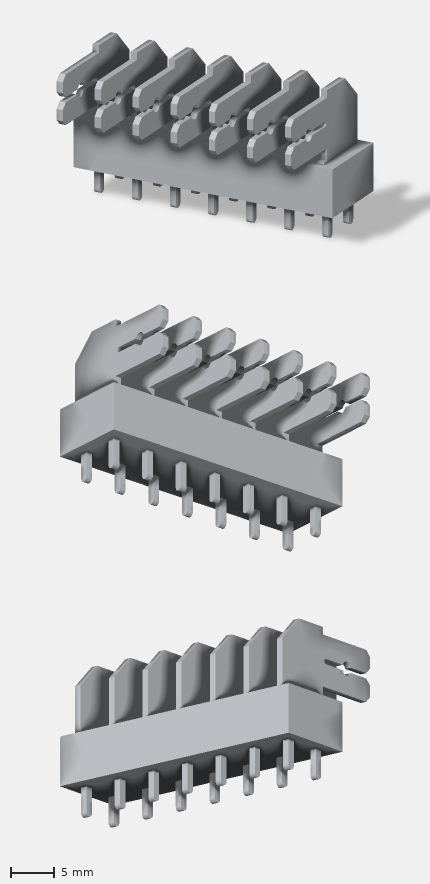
import cadquery as cq

housing_length = 34.0
housing_depth = 9.85
housing_height = 6.0

terminal_count = 7
terminal_pitch = 5.0
terminal_thickness = 0.8

plate_margin = 0.85
plate_height = 8.98
plate_front_y = 1.65
plate_corner_chamfer = 3.03
foot_height = 0.3

prong_reach = 7.0
prong_drop = 0.92
prong_pair_height = 6.25
prong_tip_chamfer = 0.7

slot_width = 0.65
slot_end_y = 1.35
relief_length = 1.43
relief_height = 1.7
relief_y = -2.72

pin_width = 1.0
pin_spacing = 5.0
front_pin_y = 2.45
pin_length = 3.55

plate_back_y = housing_depth - plate_margin
plate_top_z = housing_height + plate_height
foot_top_z = housing_height + foot_height
prong_tip_y = -prong_reach
prong_top_z = plate_top_z - prong_drop
prong_bottom_z = prong_top_z - prong_pair_height
slot_z = (prong_top_z + prong_bottom_z) / 2
slot_top_z = slot_z + slot_width / 2
slot_bottom_z = slot_z - slot_width / 2
pin_centers_y = [front_pin_y, front_pin_y + pin_spacing]
first_terminal_x = -(terminal_count - 1) * terminal_pitch / 2
terminal_centers_x = [first_terminal_x + i * terminal_pitch for i in range(terminal_count)]


def side_sketch(center_x):
    """YZ workplane on the left face of the terminal centred at center_x."""
    return cq.Workplane("YZ", origin=(center_x - terminal_thickness / 2, 0, 0))


def make_plate(center_x):
    """Plate with a chamfered back corner and a low foot at its front."""
    return (
        side_sketch(center_x)
        .moveTo(plate_margin, housing_height)
        .lineTo(plate_back_y, housing_height)
        .lineTo(plate_back_y, plate_top_z - plate_corner_chamfer)
        .lineTo(plate_back_y - plate_corner_chamfer, plate_top_z)
        .lineTo(plate_front_y, plate_top_z)
        .lineTo(plate_front_y, foot_top_z)
        .lineTo(plate_margin, foot_top_z)
        .close()
        .extrude(terminal_thickness)
    )


def make_prong(center_x, bottom_z, top_z):
    """Bar reaching forward from the plate, with both tip corners chamfered."""
    return (
        side_sketch(center_x)
        .moveTo(plate_front_y, bottom_z)
        .lineTo(plate_front_y, top_z)
        .lineTo(prong_tip_y + prong_tip_chamfer, top_z)
        .lineTo(prong_tip_y, top_z - prong_tip_chamfer)
        .lineTo(prong_tip_y, bottom_z + prong_tip_chamfer)
        .lineTo(prong_tip_y + prong_tip_chamfer, bottom_z)
        .close()
        .extrude(terminal_thickness)
    )


def make_slot_end(center_x):
    """Web that joins the prongs at the plate and ends in the slot's round bottom."""
    arc_start_y = slot_end_y - slot_width / 2
    return (
        side_sketch(center_x)
        .moveTo(plate_front_y, slot_bottom_z)
        .lineTo(arc_start_y, slot_bottom_z)
        .threePointArc((slot_end_y, slot_z), (arc_start_y, slot_top_z))
        .lineTo(plate_front_y, slot_top_z)
        .close()
        .extrude(terminal_thickness)
    )


def make_relief(center_x):
    """Rounded relief that bulges from both slot edges part way along the prongs."""
    front_y = relief_y - relief_length / 2
    back_y = relief_y + relief_length / 2
    half_height = relief_height / 2
    return (
        side_sketch(center_x)
        .moveTo(front_y, slot_bottom_z)
        .threePointArc((relief_y, slot_z - half_height), (back_y, slot_bottom_z))
        .lineTo(back_y, slot_top_z)
        .threePointArc((relief_y, slot_z + half_height), (front_y, slot_top_z))
        .close()
        .extrude(terminal_thickness)
    )


def make_pin(center_x, center_y):
    """Pin from the housing's top face down to a fully rounded end."""
    half_width = pin_width / 2
    round_start_z = half_width - pin_length
    return (
        side_sketch(center_x)
        .moveTo(center_y - half_width, housing_height)
        .lineTo(center_y - half_width, round_start_z)
        .threePointArc((center_y, -pin_length), (center_y + half_width, round_start_z))
        .lineTo(center_y + half_width, housing_height)
        .close()
        .extrude(terminal_thickness)
    )


def make_terminal(center_x):
    """Flat terminal: plate, two prongs and two pins in one piece."""
    terminal = (
        make_plate(center_x)
        .union(make_prong(center_x, slot_top_z, prong_top_z))
        .union(make_prong(center_x, prong_bottom_z, slot_bottom_z))
        .union(make_slot_end(center_x))
        .cut(make_relief(center_x))
    )
    for center_y in pin_centers_y:
        terminal = terminal.union(make_pin(center_x, center_y))
    return terminal


def make_housing():
    """Plain block with a rectangular through hole for every pin."""
    block = cq.Workplane("XY").box(
        housing_length, housing_depth, housing_height, centered=(True, False, False)
    )
    pin_places = [(x, y) for x in terminal_centers_x for y in pin_centers_y]
    pin_holes = (
        cq.Workplane("XY")
        .pushPoints(pin_places)
        .rect(terminal_thickness, pin_width)
        .extrude(housing_height)
    )
    return block.cut(pin_holes)


housing = make_housing().solids().val()
terminals = [make_terminal(x).solids().val() for x in terminal_centers_x]

result = cq.Compound.makeCompound([housing, *terminals])